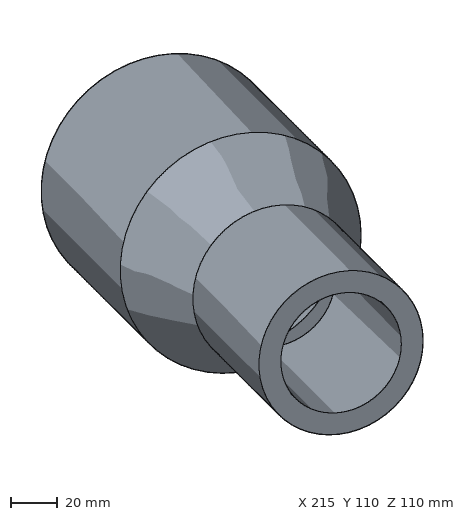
import cadquery as cq

total_length = 215.0
wide_length = 94.8
cone_length = 41.0
cone_end = wide_length + cone_length

wide_outer_radius = 110.0 / 2
wide_inner_radius = 90.0 / 2
narrow_outer_radius = 75.0 / 2
narrow_inner_radius = 55.0 / 2


def stepped_solid(wide_radius, narrow_radius):
    """Solid of revolution about X: wide cylinder, cone, narrow cylinder."""
    return (
        cq.Workplane("XY")
        .moveTo(0, 0)
        .lineTo(0, wide_radius)
        .lineTo(wide_length, wide_radius)
        .lineTo(cone_end, narrow_radius)
        .lineTo(total_length, narrow_radius)
        .lineTo(total_length, 0)
        .close()
        .revolve(360, (0, 0, 0), (1, 0, 0))
    )


outer_body = stepped_solid(wide_outer_radius, narrow_outer_radius)
bore = stepped_solid(wide_inner_radius, narrow_inner_radius)

result = outer_body.cut(bore)